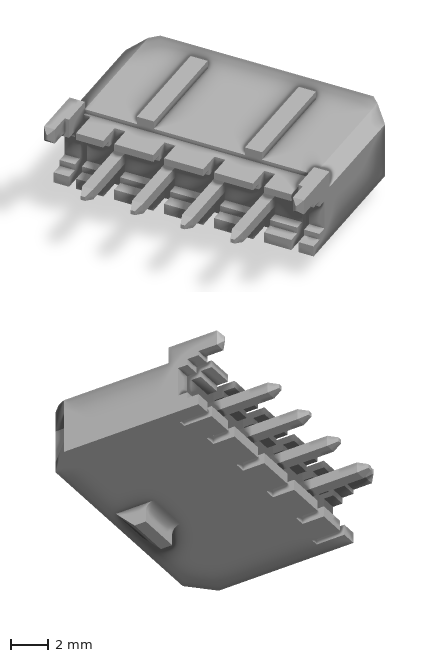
import cadquery as cq


WIDTH = 15.65
HALF_WIDTH = WIDTH / 2
TOP_Z = 3.9
LEDGE_Z = 3.63
LEDGE_Y = -8.08
PIN_END_Y = -9.97

RECESS_Y = -8.67
STEP_Y = -9.26
LOWER_STEP_Z = 0.65
RECESS_BOTTOM_Z = 1.03
RECESS_TOP_Z = 2.82
UPPER_STEP_Z = 3.2

CORNER_CHAMFER = 1.41
NOTCH_BOTTOM_Z = LOWER_STEP_Z
NOTCH_TOP_Z = 2.66
BEVEL_WIDTH = 0.92
BEVEL_Z = 3.36

RIB_TOP_Z = 4.38
RIB_WIDTH = 1.03
RIB_START_Y = -1.63
RIB_X = 3.25

PEG_BLOCK_WIDTH = BEVEL_WIDTH
PEG_WIDTH = 0.65
PEG_BOTTOM_Z = 3.46
PEG_SHOULDER_Y = -11.15
PEG_TIP_LENGTH = 0.28
PEG_TIP_INSET = 0.3

SIDE_SLOT_WIDTH = 0.42
SIDE_SLOT_Y = -8.22
PIN_SLOT_Y = -8.62

LATCH_WIDTH = 2.66
LATCH_RAMP_Y = -0.63
LATCH_STOP_Y = -2.54
LATCH_DROP = 1.19
LATCH_FILLET = 0.5

PIN_COUNT = 4
PIN_PITCH = 3.0
PIN_SIZE = 0.65
PIN_Z = 1.9
PIN_END = -13.08
PIN_TIP_LENGTH = 0.6
PIN_TIP_SIZE = 0.25

PIN_XS = [PIN_PITCH * (i - (PIN_COUNT - 1) / 2) for i in range(PIN_COUNT)]
SIDES = (-1, 1)


def box(x0, x1, y0, y1, z0, z1):
    """Box between two opposite corners."""
    size = (abs(x1 - x0), abs(y1 - y0), abs(z1 - z0))
    return cq.Workplane("XY").box(*size).translate(((x0 + x1) / 2, (y0 + y1) / 2, (z0 + z1) / 2))


def side_prism(outline, x0, x1):
    """Closed outline of (y, z) points, extruded along X."""
    plane = cq.Workplane("YZ", origin=(min(x0, x1), 0, 0))
    return plane.polyline(outline).close().extrude(abs(x1 - x0))


def plan_prism(outline, z0, z1):
    """Closed outline of (x, y) points, extruded along Z."""
    return cq.Workplane("XY", origin=(0, 0, z0)).polyline(outline).close().extrude(z1 - z0)


def pointed_bar(x_mid, width, z0, z1, start_y, end_y, tip_length, inset):
    """Bar toward -Y whose four sides draw in by `inset` along its tip."""
    shoulder_y = end_y + tip_length
    x0 = x_mid - width / 2
    x1 = x_mid + width / 2
    plan = [
        (x0, start_y),
        (x1, start_y),
        (x1, shoulder_y),
        (x1 - inset, end_y),
        (x0 + inset, end_y),
        (x0, shoulder_y),
    ]
    side = [
        (start_y, z0),
        (start_y, z1),
        (shoulder_y, z1),
        (end_y, z1 - inset),
        (end_y, z0 + inset),
        (shoulder_y, z0),
    ]
    return plan_prism(plan, z0, z1).intersect(side_prism(side, x0, x1))


def main_block():
    """Block with the lower ledge and the stepped recess at its pin end."""
    outline = [
        (0, 0),
        (0, TOP_Z),
        (LEDGE_Y, TOP_Z),
        (LEDGE_Y, LEDGE_Z),
        (PIN_END_Y, LEDGE_Z),
        (PIN_END_Y, UPPER_STEP_Z),
        (STEP_Y, UPPER_STEP_Z),
        (STEP_Y, RECESS_TOP_Z),
        (RECESS_Y, RECESS_TOP_Z),
        (RECESS_Y, RECESS_BOTTOM_Z),
        (STEP_Y, RECESS_BOTTOM_Z),
        (STEP_Y, LOWER_STEP_Z),
        (PIN_END_Y, LOWER_STEP_Z),
        (PIN_END_Y, 0),
    ]
    return side_prism(outline, -HALF_WIDTH, HALF_WIDTH)


def corner_cut(side):
    """Chamfer of one mating corner, with a square notch at mid height."""
    outer_x = side * HALF_WIDTH
    inner_x = outer_x - side * CORNER_CHAMFER
    chamfer = plan_prism([(inner_x, 0), (outer_x, 0), (outer_x, -CORNER_CHAMFER)], 0, TOP_Z)
    return chamfer.union(box(inner_x, outer_x, -CORNER_CHAMFER, 0, NOTCH_BOTTOM_Z, NOTCH_TOP_Z))


def bevel_cut(side):
    """Bevel along one long edge of the main top face."""
    outer_x = side * HALF_WIDTH
    inner_x = outer_x - side * BEVEL_WIDTH
    triangle = [(outer_x, BEVEL_Z), (outer_x, TOP_Z), (inner_x, TOP_Z)]
    return cq.Workplane("XZ").polyline(triangle).close().extrude(-LEDGE_Y)


def rib(x_mid):
    return box(x_mid - RIB_WIDTH / 2, x_mid + RIB_WIDTH / 2, RIB_START_Y, LEDGE_Y, TOP_Z, RIB_TOP_Z)


def peg(side):
    """Raised block at one corner of the pin end and the peg that leaves it."""
    outer_x = side * HALF_WIDTH
    block_x = outer_x - side * PEG_BLOCK_WIDTH
    block = box(block_x, outer_x, LEDGE_Y, PIN_END_Y, UPPER_STEP_Z, RIB_TOP_Z)
    mid_x = outer_x - side * PEG_WIDTH / 2
    end_y = PEG_SHOULDER_Y - PEG_TIP_LENGTH
    bar = pointed_bar(
        mid_x, PEG_WIDTH, PEG_BOTTOM_Z, RIB_TOP_Z, LEDGE_Y, end_y, PEG_TIP_LENGTH, PEG_TIP_INSET
    )
    return block.union(bar)


def side_slot(side):
    """Slot that parts one peg corner from the middle of the pin end."""
    outer_x = side * (HALF_WIDTH - PEG_BLOCK_WIDTH)
    return box(outer_x - side * SIDE_SLOT_WIDTH, outer_x, SIDE_SLOT_Y, PIN_END_Y, 0, LEDGE_Z)


def pin_slot(x_mid):
    """Full-height slot in front of one pin."""
    return box(x_mid - PIN_SIZE / 2, x_mid + PIN_SIZE / 2, PIN_SLOT_Y, PIN_END_Y, 0, LEDGE_Z)


def latch():
    """Ramped hook under the housing, with a concave fillet behind its stop face."""
    return (
        cq.Workplane("YZ", origin=(-LATCH_WIDTH / 2, 0, 0))
        .moveTo(LATCH_RAMP_Y, 0)
        .lineTo(LATCH_RAMP_Y - LATCH_DROP, -LATCH_DROP)
        .lineTo(LATCH_STOP_Y, -LATCH_DROP)
        .lineTo(LATCH_STOP_Y, -LATCH_FILLET)
        .radiusArc((LATCH_STOP_Y - LATCH_FILLET, 0), -LATCH_FILLET)
        .close()
        .extrude(LATCH_WIDTH)
    )


def make_housing():
    body = main_block()
    for side in SIDES:
        body = body.cut(corner_cut(side)).cut(bevel_cut(side)).cut(side_slot(side))
        body = body.union(peg(side)).union(rib(side * RIB_X))
    for x_mid in PIN_XS:
        body = body.cut(pin_slot(x_mid))
    return body.union(latch())


def make_pin(x_mid):
    """Square pin that stands on the floor of its slot."""
    bottom_z = PIN_Z - PIN_SIZE / 2
    inset = (PIN_SIZE - PIN_TIP_SIZE) / 2
    return pointed_bar(
        x_mid, PIN_SIZE, bottom_z, bottom_z + PIN_SIZE, PIN_SLOT_Y, PIN_END, PIN_TIP_LENGTH, inset
    )


housing = make_housing()
pins = [make_pin(x_mid) for x_mid in PIN_XS]

result = cq.Compound.makeCompound([housing.val(), *[pin.val() for pin in pins]])